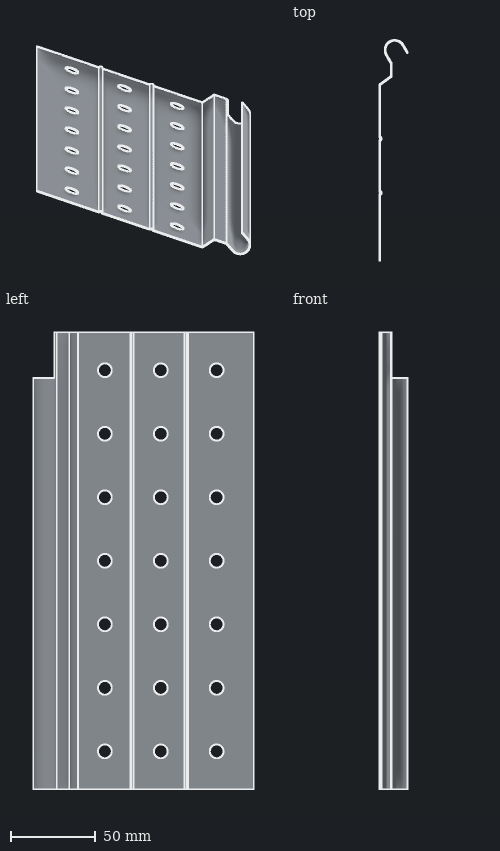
import cadquery as cq
import math

WIDTH_X = 17.0
LENGTH_Y = 130.4
HEIGHT_Z = 270.0
THICKNESS = 0.6

HOOK_RADIUS = 6.0
HOOK_CENTER_X = 9.2
HOOK_CENTER_Y = LENGTH_Y - HOOK_RADIUS
LEG_ANGLE = 60.0

SHANK_X = 6.9
JOG_START_Y = 104.0
JOG_END_Y = 109.0

BEAD_CENTERS_Y = (40.0, 72.0)
GROOVE_DEPTH = 0.7
GROOVE_HALF_WIDTH = 1.0
RIB_HEIGHT = 0.9
RIB_HALF_WIDTH = 1.2

HOLE_DIAMETER = 8.0
HOLE_COLUMNS = 3
HOLE_ROWS = 7
HOLE_FIRST_Y = 22.0
HOLE_PITCH_Y = 33.0
HOLE_PITCH_Z = 37.5

NOTCH_START_Y = 117.9
NOTCH_HEIGHT = 27.0


def sheet_outline():
    """Closed XY section: up the -X/outer face, around the tail end and back down the inner face."""
    cos_leg = math.cos(math.radians(LEG_ANGLE))
    sin_leg = math.sin(math.radians(LEG_ANGLE))
    inner_radius = HOOK_RADIUS - THICKNESS

    def hook_point(radius, side):
        """Tangent point of a leg: side is -1 for the shank leg, +1 for the tail."""
        return HOOK_CENTER_X + side * radius * sin_leg, HOOK_CENTER_Y + side * radius * cos_leg

    def shank_leg_y(radius, x):
        """Y at which the face of the shank leg reaches the given X."""
        start_x, start_y = hook_point(radius, -1)
        return start_y - (x - start_x) * sin_leg / cos_leg

    jog_angle = math.atan2(JOG_END_Y - JOG_START_Y, SHANK_X)
    jog_shift = THICKNESS * math.tan(math.pi / 4 - jog_angle / 2)
    inner_shank_x = SHANK_X + THICKNESS

    outer_tail = hook_point(HOOK_RADIUS, 1)
    inner_tail = hook_point(inner_radius, 1)
    tail_length = (WIDTH_X - outer_tail[0]) / cos_leg
    tail_step = (tail_length * cos_leg, -tail_length * sin_leg)

    outline = cq.Workplane("XY").moveTo(0, 0)
    for y in BEAD_CENTERS_Y:
        outline = outline.lineTo(0, y - GROOVE_HALF_WIDTH)
        outline = outline.lineTo(GROOVE_DEPTH, y)
        outline = outline.lineTo(0, y + GROOVE_HALF_WIDTH)
    outline = outline.lineTo(0, JOG_START_Y)
    outline = outline.lineTo(SHANK_X, JOG_END_Y)
    outline = outline.lineTo(SHANK_X, shank_leg_y(HOOK_RADIUS, SHANK_X))
    outline = outline.lineTo(*hook_point(HOOK_RADIUS, -1))
    outer_crown = (HOOK_CENTER_X, HOOK_CENTER_Y + HOOK_RADIUS)
    outline = outline.threePointArc(outer_crown, outer_tail)
    outline = outline.line(*tail_step)
    outline = outline.lineTo(inner_tail[0] + tail_step[0], inner_tail[1] + tail_step[1])
    outline = outline.lineTo(*inner_tail)
    inner_crown = (HOOK_CENTER_X, HOOK_CENTER_Y + inner_radius)
    outline = outline.threePointArc(inner_crown, hook_point(inner_radius, -1))
    outline = outline.lineTo(inner_shank_x, shank_leg_y(inner_radius, inner_shank_x))
    outline = outline.lineTo(inner_shank_x, JOG_END_Y - jog_shift)
    outline = outline.lineTo(THICKNESS, JOG_START_Y - jog_shift)
    for y in reversed(BEAD_CENTERS_Y):
        outline = outline.lineTo(THICKNESS, y + RIB_HALF_WIDTH)
        rib_crown = (THICKNESS + RIB_HEIGHT, y)
        outline = outline.threePointArc(rib_crown, (THICKNESS, y - RIB_HALF_WIDTH))
    return outline.lineTo(THICKNESS, 0).close()


def panel_holes():
    """Grid of round cutters through the panel, centered on its height."""
    first_z = (HEIGHT_Z - (HOLE_ROWS - 1) * HOLE_PITCH_Z) / 2
    centers = [
        (HOLE_FIRST_Y + column * HOLE_PITCH_Y, first_z + row * HOLE_PITCH_Z)
        for column in range(HOLE_COLUMNS)
        for row in range(HOLE_ROWS)
    ]
    return cq.Workplane("YZ").pushPoints(centers).circle(HOLE_DIAMETER / 2).extrude(THICKNESS)


def hook_notch():
    """Block that removes the top end of the hook."""
    notch_size_y = LENGTH_Y - NOTCH_START_Y
    notch = cq.Workplane("XY").box(WIDTH_X, notch_size_y, NOTCH_HEIGHT, centered=False)
    return notch.translate((0, NOTCH_START_Y, HEIGHT_Z - NOTCH_HEIGHT))


result = sheet_outline().extrude(HEIGHT_Z).cut(panel_holes()).cut(hook_notch())